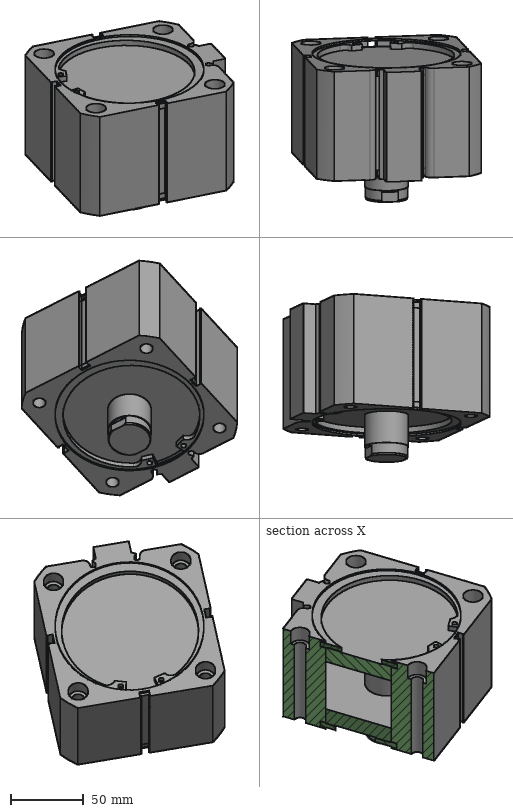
import cadquery as cq
import math

block_side = 115.0
block_height = 76.6
corner_radius = 74.4
face = block_side / 2

boss_width = 24.8
boss_rise = 9.0
boss_edge_chamfer = 0.4
relief_x = 15.4
relief_depth = 4.8
relief_radius = 2.0
barb_reach = 3.0
barb_drop = 1.7

bolt_offset = 44.5
bolt_diameter = 8.7
counterbore_diameter = 13.6
counterbore_depth = 11.2

slot_depth = 4.5
slot_width = 6.8
slot_lip = 0.9
slot_throat = 5.2
slot_mouth_chamfer = 0.5

bore_radius = 51.1
groove_radius = 53.2
groove_inset = 1.4

ring_thickness = 4.0
top_ring_clearance = 0.4
ring_inner_radius = 47.0
ring_inner_shift = 2.4
ring_gap_angle = 13.0
lug_angle = 17.4
lug_inner_distance = 43.5
lug_heel = 4.6
lug_fillet_angle = 32.7
lug_hole_distance = 47.4
lug_hole_diameter = 3.5
top_ring_turn = -0.9
bottom_ring_turn = 180.0

cover_thickness = 12.4
top_cover_top = block_height - groove_inset - top_ring_clearance - ring_thickness
top_cover_bottom = top_cover_top - cover_thickness
rod_cover_bottom = groove_inset + ring_thickness

rod_radius = 15.0
rod_reach = 24.9
rod_shoulder_depth = 16.6
rod_end_radius = 14.6
rod_end_chamfer_height = 1.2
rod_end_chamfer_width = 0.5
flat_distance = 13.4
flat_runout = 1.4


def polar_from_minus_y(distance, angle):
    """Point at a distance from the axis, turned by an angle in degrees from -Y towards +X."""
    turn = math.radians(angle)
    return distance * math.sin(turn), -distance * math.cos(turn)


def mirrored(point):
    return -point[0], point[1]


def cylinder(radius, height, bottom=0.0):
    return cq.Workplane("XY").workplane(offset=bottom).circle(radius).extrude(height)


def make_relief():
    """Groove on the +X side of the boss, ending in a barb and a rounded shoulder."""
    centre_y = face - relief_depth
    diagonal = relief_radius * math.sqrt(0.5)
    outer_x = relief_x + relief_radius
    return (
        cq.Workplane("XY")
        .moveTo(boss_width / 2, face)
        .lineTo(boss_width / 2 + barb_reach, face - barb_drop)
        .lineTo(relief_x - diagonal, centre_y + diagonal)
        .threePointArc((relief_x - diagonal, centre_y - diagonal), (outer_x, centre_y))
        .tangentArcPoint((outer_x + relief_depth, face), relative=False)
        .close()
        .extrude(block_height)
    )


def make_slot():
    """Undercut slot along the -Y face."""
    right_side = [
        (slot_throat / 2 + slot_mouth_chamfer, -face),
        (slot_throat / 2, -face + slot_mouth_chamfer),
        (slot_throat / 2, -face + slot_lip),
        (slot_width / 2, -face + slot_lip),
        (slot_width / 2, -face + slot_depth),
    ]
    left_side = [mirrored(point) for point in reversed(right_side)]
    return cq.Workplane("XY").polyline(right_side + left_side).close().extrude(block_height)


def make_housing():
    block = cq.Workplane("XY").rect(block_side, block_side).extrude(block_height)
    block = block.intersect(cylinder(corner_radius, block_height))

    boss = (
        cq.Workplane("XY")
        .center(0, face)
        .rect(boss_width, 2 * boss_rise)
        .extrude(block_height)
        .edges("|Z and >Y")
        .chamfer(boss_edge_chamfer)
    )
    block = block.union(boss)
    relief = make_relief()
    block = block.cut(relief).cut(relief.mirror("YZ"))

    for turn in (-90, 0, 90):
        block = block.cut(make_slot().rotate((0, 0, 0), (0, 0, 1), turn))

    block = (
        block.faces(">Z")
        .workplane(origin=(0, 0, block_height))
        .rect(2 * bolt_offset, 2 * bolt_offset, forConstruction=True)
        .vertices()
        .cboreHole(bolt_diameter, counterbore_diameter, counterbore_depth)
    )

    block = block.cut(cylinder(bore_radius, block_height))
    bottom_groove = cylinder(groove_radius, ring_thickness, groove_inset)
    top_groove = cylinder(groove_radius, ring_thickness + top_ring_clearance, top_cover_top)
    return block.cut(bottom_groove).cut(top_groove)


def fillet_arc_middle(lug_corner, inner_end):
    """Middle of the arc that leaves the ring's inner edge tangentially and meets the lug corner."""
    inward_x, inward_y = (-value for value in polar_from_minus_y(1.0, lug_fillet_angle))
    chord_x = lug_corner[0] - inner_end[0]
    chord_y = lug_corner[1] - inner_end[1]
    radius = (chord_x**2 + chord_y**2) / (2 * (chord_x * inward_x + chord_y * inward_y))
    centre_x = inner_end[0] + radius * inward_x
    centre_y = inner_end[1] + radius * inward_y
    to_middle_x = (lug_corner[0] + inner_end[0]) / 2 - centre_x
    to_middle_y = (lug_corner[1] + inner_end[1]) / 2 - centre_y
    stretch = radius / math.hypot(to_middle_x, to_middle_y)
    return centre_x + stretch * to_middle_x, centre_y + stretch * to_middle_y


def make_retaining_ring(bottom, turn):
    """Eccentric snap ring, open towards -Y, with a drilled lug at each end."""
    outer_end = polar_from_minus_y(groove_radius, ring_gap_angle)
    lug_offset = math.radians(lug_angle - ring_gap_angle)
    lug_toe = polar_from_minus_y(lug_inner_distance / math.cos(lug_offset), ring_gap_angle)
    heel_turn = math.degrees(math.atan2(lug_heel, lug_inner_distance))
    lug_corner = polar_from_minus_y(math.hypot(lug_inner_distance, lug_heel), lug_angle + heel_turn)
    fillet_x, fillet_y = polar_from_minus_y(ring_inner_radius, lug_fillet_angle)
    inner_end = (fillet_x, fillet_y - ring_inner_shift)
    inner_top = (0, ring_inner_radius - ring_inner_shift)
    hole = polar_from_minus_y(lug_hole_distance, lug_angle)

    ring = (
        cq.Workplane("XY")
        .workplane(offset=bottom)
        .moveTo(*mirrored(outer_end))
        .threePointArc((0, groove_radius), outer_end)
        .lineTo(*lug_toe)
        .lineTo(*lug_corner)
    )
    fillet_middle = fillet_arc_middle(lug_corner, inner_end)
    ring = (
        ring.threePointArc(fillet_middle, inner_end)
        .threePointArc(inner_top, mirrored(inner_end))
        .threePointArc(mirrored(fillet_middle), mirrored(lug_corner))
        .lineTo(*mirrored(lug_toe))
        .close()
        .extrude(ring_thickness)
    )
    lug_holes = (
        cq.Workplane("XY")
        .workplane(offset=bottom)
        .pushPoints([hole, mirrored(hole)])
        .circle(lug_hole_diameter / 2)
        .extrude(ring_thickness)
    )
    return ring.cut(lug_holes).rotate((0, 0, 0), (0, 0, 1), turn)


def make_top_cover():
    return cylinder(bore_radius, cover_thickness, top_cover_bottom)


def make_rod_cover():
    """Lower cover, with the hole that guides the piston rod."""
    cover = cylinder(bore_radius, cover_thickness, rod_cover_bottom)
    return cover.cut(cylinder(rod_radius, cover_thickness, rod_cover_bottom))


def make_flat_cutter():
    """Cutter for the -Y wrench flat, with a slope that runs out at the shoulder."""
    return (
        cq.Workplane("YZ")
        .moveTo(-flat_distance, -rod_reach)
        .lineTo(-flat_distance, -rod_shoulder_depth - flat_runout)
        .lineTo(-rod_radius, -rod_shoulder_depth)
        .lineTo(-rod_radius, -rod_reach)
        .close()
        .extrude(rod_radius, both=True)
    )


def make_piston_rod():
    """Rod from the top cover down through the rod cover, with two wrench flats at its end."""
    rod = (
        cq.Workplane("XZ")
        .moveTo(0, -rod_reach)
        .lineTo(rod_end_radius - rod_end_chamfer_width, -rod_reach)
        .lineTo(rod_end_radius, -rod_reach + rod_end_chamfer_height)
        .lineTo(rod_end_radius, -rod_shoulder_depth)
        .lineTo(rod_radius, -rod_shoulder_depth)
        .lineTo(rod_radius, top_cover_bottom)
        .lineTo(0, top_cover_bottom)
        .close()
        .revolve(360, (0, 0, 0), (0, 1, 0))
    )
    cutter = make_flat_cutter()
    return rod.cut(cutter).cut(cutter.mirror("XZ"))


housing = make_housing()
ring_places = [
    (groove_inset, bottom_ring_turn),
    (top_cover_top, top_ring_turn),
]
retaining_rings = [make_retaining_ring(bottom, turn) for bottom, turn in ring_places]
top_cover = make_top_cover()
rod_cover = make_rod_cover()
piston_rod = make_piston_rod()

result = cq.Compound.makeCompound(
    [
        housing.val(),
        *[ring.val() for ring in retaining_rings],
        top_cover.val(),
        rod_cover.val(),
        piston_rod.val(),
    ]
)